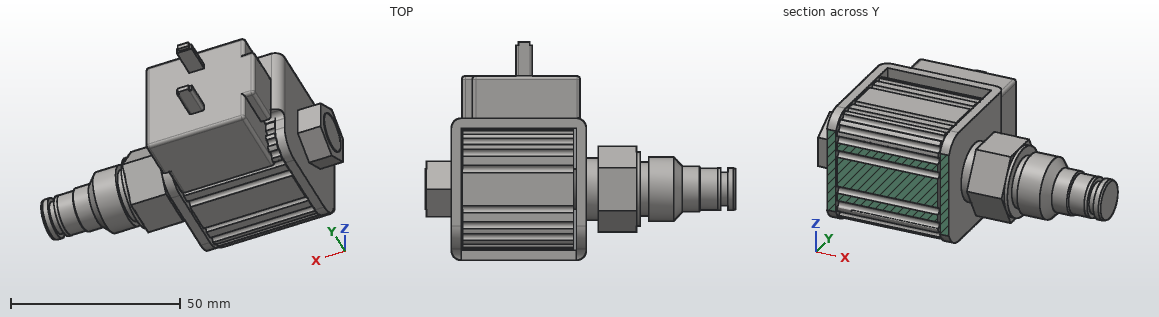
import cadquery as cq
import math

total_length = 91.5
frame_height = 36.0
half_height = frame_height / 2

plate = 3.0
bend_radius = plate
frame_x0 = 7.6
frame_x1 = 47.5
frame_front = -21.0
frame_back = 20.95
inner_x0 = frame_x0 + plate
inner_x1 = frame_x1 - plate
inner_front = frame_front + plate
inner_back = frame_back - plate
corner_radius = 7.1
front_plate_half = 10.9
back_plate_bottom = -5.2
relief_radius = 1.9

coil_x0 = 10.9
coil_x1 = 43.8
coil_length = coil_x1 - coil_x0
coil_half = 17.6
coil_corner_radius = 6.4
flute_diameter = 2.1
flat_flute_offsets = (5.95, 10.7)
corner_flute_angles = (28, 62)

block_x0 = 13.8
block_x1 = 45.7
block_top = 15.0
block_back = 33.4
block_round = 1.0
pad_x0 = 10.7
pad_top = 8.05
pad_bottom = -9.0
pad_depth = 9.15
neck_top = -6.95
neck_round = 0.6
neck_front = coil_half - coil_corner_radius

blade_x = 29.1
blade_width = 4.85
blade_thickness = 2.1
blade_round = 0.7
blade_shoulder = 42.5
blade_end = 43.5
blade_mid_z = -0.55
blade_outer_half = 9.7
tip_thickness = 1.6

nut_x0 = 0.3
nut_across_flats = 16.5
core_diameter = 12.0
hex_x0 = 51.0
hex_x1 = 62.3
hex_across_flats = 22.0

collar_diameter = 18.5
washer_x1 = 63.4
washer_diameter = 22.0
neck_x1 = 65.9
neck_diameter = 16.0
shoulder_x1 = 73.2
shoulder_diameter = 19.0
cone_x1 = 75.85
barrel_x1 = 80.8
barrel_diameter = 13.5
nose_x0 = 81.2
nose_x1 = 86.2
nose_diameter = 12.4
land_diameter = 12.5
groove_x0 = 87.2
groove_x1 = 89.2
groove_diameter = 10.0
tip_chamfer_x = 90.9
tip_diameter = 12.0


def block(x0, x1, y0, y1, z0, z1):
    """Box between two opposite corners."""
    return cq.Workplane("XY").box(x1 - x0, y1 - y0, z1 - z0, centered=False).translate((x0, y0, z0))


def cylinder(x0, x1, diameter):
    """Cylinder on the valve axis."""
    return cq.Workplane("YZ", origin=(x0, 0, 0)).circle(diameter / 2).extrude(x1 - x0)


def hexagon(x0, x1, across_flats, turn):
    """Hexagonal prism on the valve axis, turned about it by an angle in degrees."""
    corner_diameter = across_flats / math.cos(math.pi / 6)
    prism = cq.Workplane("YZ", origin=(x0, 0, 0)).polygon(6, corner_diameter).extrude(x1 - x0)
    return prism.rotate((0, 0, 0), (1, 0, 0), turn)


def frame_side_profile():
    """Side outline of the frame: the front and back plates are narrower than the side plates."""
    corner_y = inner_front + corner_radius
    corner_z = half_height - corner_radius
    across = corner_y - frame_front
    rise = front_plate_half - corner_z
    hollow_radius = (across**2 + rise**2 - corner_radius**2) / (2 * (corner_radius - rise))
    hollow_z = front_plate_half + hollow_radius
    slope = math.atan2(hollow_z - corner_z, across)
    meet_y = corner_y - corner_radius * math.cos(slope)
    meet_z = corner_z + corner_radius * math.sin(slope)
    back_corner_y = inner_back - corner_radius
    return (
        cq.Workplane("YZ")
        .moveTo(frame_back, half_height)
        .lineTo(corner_y, half_height)
        .tangentArcPoint((meet_y, meet_z), relative=False)
        .tangentArcPoint((frame_front, front_plate_half), relative=False)
        .lineTo(frame_front, -front_plate_half)
        .radiusArc((meet_y, -meet_z), hollow_radius)
        .tangentArcPoint((corner_y, -half_height), relative=False)
        .lineTo(back_corner_y, -half_height)
        .tangentArcPoint((inner_back, -corner_z), relative=False)
        .lineTo(inner_back, back_plate_bottom - relief_radius)
        .radiusArc((inner_back + relief_radius, back_plate_bottom), relief_radius)
        .lineTo(frame_back, back_plate_bottom)
        .close()
    )


def make_frame():
    outer = block(frame_x0, frame_x1, frame_front, frame_back, -half_height, half_height)
    outer = outer.edges("|Z").fillet(bend_radius)
    window = block(inner_x0, inner_x1, inner_front, inner_back, -half_height, half_height)
    for side in (-1, 1):
        z_range = sorted((side * front_plate_half, side * half_height))
        outer = outer.cut(block(inner_x0, inner_x1, frame_front, inner_front, *z_range))
    return outer.cut(window).intersect(frame_side_profile().extrude(total_length))


def flute_centers():
    """Flute positions along the flats and around the corners of the coil section."""
    one_quarter = [(side * offset, coil_half) for offset in flat_flute_offsets for side in (-1, 1)]
    corner_center = coil_half - coil_corner_radius
    for degrees in corner_flute_angles:
        angle = math.radians(degrees)
        y = corner_center + coil_corner_radius * math.cos(angle)
        z = corner_center + coil_corner_radius * math.sin(angle)
        one_quarter.append((y, z))
    centers = []
    for y, z in one_quarter:
        centers += [(y, z), (-z, y), (-y, -z), (z, -y)]
    return centers


def make_coil():
    coil = cq.Workplane("YZ", origin=(coil_x0, 0, 0)).rect(2 * coil_half, 2 * coil_half).extrude(coil_length)
    coil = coil.edges("|X").fillet(coil_corner_radius)
    flutes = cq.Workplane("YZ", origin=(coil_x0, 0, 0)).pushPoints(flute_centers())
    coil = coil.cut(flutes.circle(flute_diameter / 2).extrude(coil_length))
    foot_half = flat_flute_offsets[0] - flute_diameter / 2
    return coil.union(block(coil_x0, coil_x1, -foot_half, foot_half, -half_height, 0))


def rounded_block(x0, x1, z0, z1):
    """Connector block with rounded long edges and a rounded rim at the back."""
    body = block(x0, x1, frame_back, block_back, z0, z1)
    return body.edges("|Y or >Y").fillet(block_round)


def make_connector():
    main = rounded_block(block_x0, block_x1, -half_height, block_top)
    pad = rounded_block(pad_x0, pad_x0 + pad_depth, pad_bottom, pad_top)
    neck = block(block_x0, coil_x1, neck_front, frame_back + block_round, -half_height, neck_top)
    neck = neck.edges("|Y and <Z").fillet(block_round)
    root_fillet = (
        cq.Workplane("YZ", origin=(block_x0, 0, 0))
        .moveTo(frame_back, neck_top)
        .lineTo(frame_back, neck_top + neck_round)
        .radiusArc((frame_back - neck_round, neck_top), neck_round)
        .close()
        .extrude(coil_x1 - block_x0)
    )
    return main.union(pad).union(neck).union(root_fillet)


def make_blade():
    """Upper contact blade: its outer long edges are rounded and its tip is narrower."""
    top = blade_mid_z + blade_outer_half
    root = block_back - block_round
    body_x0 = blade_x - blade_width / 2
    body_x1 = blade_x + blade_width / 2
    body = block(body_x0, body_x1, root, blade_shoulder, top - blade_thickness, top)
    body = body.edges("|Y and >Z").fillet(blade_round)
    tip = block(body_x0 + blade_round, body_x1 - blade_round, root, blade_end, top - tip_thickness, top)
    return body.union(tip)


def make_valve_body():
    """Turned body from the frame to the right end, with its wrench hexagon."""
    outline = [
        (frame_x1, 0),
        (frame_x1, collar_diameter / 2),
        (hex_x1, collar_diameter / 2),
        (hex_x1, washer_diameter / 2),
        (washer_x1, washer_diameter / 2),
        (washer_x1, neck_diameter / 2),
        (neck_x1, neck_diameter / 2),
        (neck_x1, shoulder_diameter / 2),
        (shoulder_x1, shoulder_diameter / 2),
        (cone_x1, barrel_diameter / 2),
        (barrel_x1, barrel_diameter / 2),
        (nose_x0, nose_diameter / 2),
        (nose_x1, nose_diameter / 2),
        (nose_x1, land_diameter / 2),
        (groove_x0, land_diameter / 2),
        (groove_x0, groove_diameter / 2),
        (groove_x1, groove_diameter / 2),
        (groove_x1, land_diameter / 2),
        (tip_chamfer_x, land_diameter / 2),
        (total_length, tip_diameter / 2),
        (total_length, 0),
    ]
    turned = cq.Workplane("XY").polyline(outline).close().revolve(360, (0, 0, 0), (1, 0, 0))
    return turned.union(hexagon(hex_x0, hex_x1, hex_across_flats, 0))


core = cylinder(0, hex_x0, core_diameter)
retaining_nut = hexagon(nut_x0, frame_x0, nut_across_flats, 90)
upper_blade = make_blade()
lower_blade = upper_blade.mirror("XY", (0, 0, blade_mid_z))

result = (
    make_frame()
    .union(make_coil())
    .union(make_connector())
    .union(upper_blade)
    .union(lower_blade)
    .union(core)
    .union(retaining_nut)
    .union(make_valve_body())
)